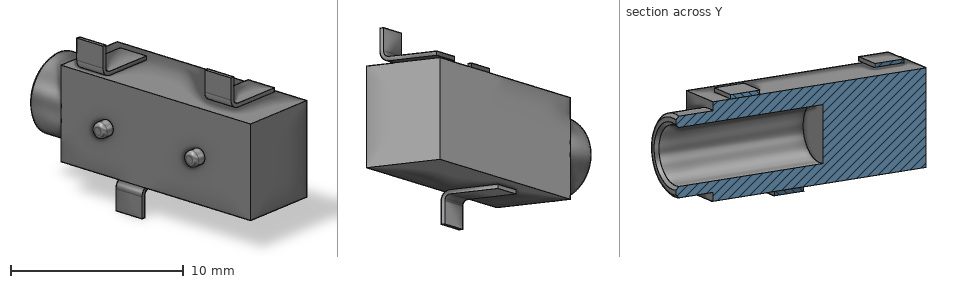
import cadquery as cq

total_length = 17.0

barrel_diameter = 5.0
barrel_length = 2.5
bore_diameter = 3.6
bore_depth = 10.0
rim_chamfer = 0.2

block_length = total_length - barrel_length
block_depth = barrel_diameter
block_height = 6.0
front_y = -block_depth / 2

peg_diameter = 1.0
peg_length = 0.8
peg_tip_radius = 0.25
peg_positions_x = [6.0, 13.0]

terminal_width = 2.0
foot_length = 3.86
leg_height = 1.99
terminal_thickness = 0.25
bend_outer_radius = 0.61
bend_inner_radius = bend_outer_radius - terminal_thickness
raised_terminal_gap = 0.5
terminal_places = [
    (3.7, 0, 1),
    (13.5, raised_terminal_gap, 1),
    (6.7, 0, -1),
]


def make_housing():
    """Block and barrel in one piece, with the blind bore and a mouth chamfered inside and outside."""
    block = (
        cq.Workplane("XY", origin=(barrel_length, 0, 0))
        .box(block_length, block_depth, block_height, centered=(False, True, True))
    )
    barrel = cq.Workplane("YZ").circle(barrel_diameter / 2).extrude(barrel_length)
    bore = cq.Workplane("YZ").circle(bore_diameter / 2).extrude(bore_depth)
    return block.union(barrel).cut(bore).faces("<X").chamfer(rim_chamfer)


def make_peg(x):
    """Round peg standing on the front face, with a rounded tip."""
    peg = cq.Workplane("XZ", origin=(x, front_y, 0)).circle(peg_diameter / 2).extrude(peg_length)
    return peg.faces("<Y").edges().fillet(peg_tip_radius)


def make_terminal(x, gap, side):
    """L-shaped strip: a foot along the housing and a leg standing flush with the front face."""
    leg_back_y = front_y + terminal_thickness
    foot_end_y = front_y + foot_length
    terminal = (
        cq.Workplane("YZ")
        .moveTo(foot_end_y, 0)
        .lineTo(front_y + bend_outer_radius, 0)
        .radiusArc((front_y, bend_outer_radius), bend_outer_radius)
        .lineTo(front_y, leg_height)
        .lineTo(leg_back_y, leg_height)
        .lineTo(leg_back_y, bend_outer_radius)
        .radiusArc((front_y + bend_outer_radius, terminal_thickness), -bend_inner_radius)
        .lineTo(foot_end_y, terminal_thickness)
        .close()
        .extrude(terminal_width)
    )
    if side < 0:
        terminal = terminal.mirror("XY")
    return terminal.translate((x, 0, side * (block_height / 2 + gap)))


housing = make_housing()
pegs = [make_peg(x) for x in peg_positions_x]
terminals = [make_terminal(x, gap, side) for x, gap, side in terminal_places]

bodies = [housing, *pegs, *terminals]
result = cq.Compound.makeCompound([body.val() for body in bodies])